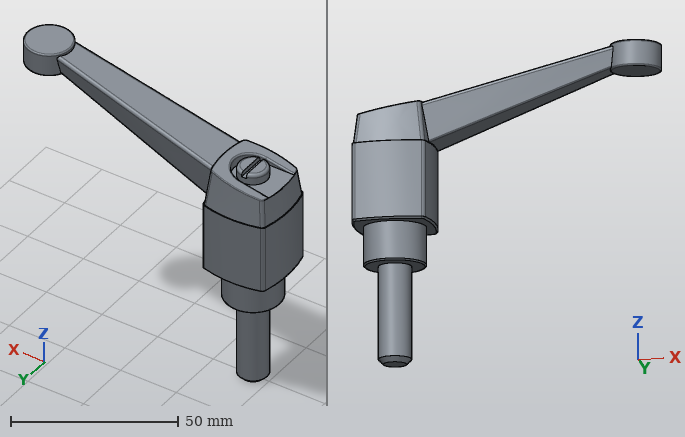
import cadquery as cq


stud_diameter = 10.1
stud_tip_chamfer = 1.5
collar_diameter = 19.0
collar_bottom = 30.0
collar_chamfer = 0.5

hub_bottom = 42.0
hub_ledge = 66.0
hub_width = 25.0
hub_half_width = hub_width / 2
hub_half_corner = 10.9
hub_corner_radius = 1.5
hub_bottom_chamfer = 0.6
ledge_width = 0.3
hub_taper_angle = 8.0
hub_top_at_axis = 76.95
hub_top_slope = 10.6
hub_top_radius = 0.3

pocket_floor = 74.9
pocket_radius = 6.7
pocket_edge_radius = 0.6

screw_diameter = 10.0
screw_top = 78.5
screw_edge_radius = 1.0
slot_width = 1.7
slot_depth = 1.5

overall_length = 93.5
overall_height = 95.0
knob_diameter = 15.5
knob_height = 8.0
knob_edge_radius = 0.5
knob_x = overall_length - hub_half_width - knob_diameter / 2

arm_start = 8.55
arm_end = 68.4
arm_start_bottom = 65.2
arm_start_top = 78.2
arm_end_bottom = 88.3
arm_end_top = 94.5
arm_start_half_width = 8.2
arm_end_half_width = 5.0
arm_side_lean = 1.3
arm_top_radius = 0.95
arm_bottom_radius = 0.5


def cylinder(diameter, bottom, top):
    """Round bar about the stud axis."""
    return cq.Workplane("XY", origin=(0, 0, bottom)).circle(diameter / 2).extrude(top - bottom)


def arched_square(bottom, inset):
    """Square outline with arched sides, moved inwards by inset."""
    middle = hub_half_width - inset
    corner = hub_half_corner - inset
    return (
        cq.Workplane("XY", origin=(0, 0, bottom))
        .moveTo(-corner, -corner)
        .threePointArc((0, -middle), (corner, -corner))
        .threePointArc((middle, 0), (corner, corner))
        .threePointArc((0, middle), (-corner, corner))
        .threePointArc((-middle, 0), (-corner, -corner))
        .close()
    )


def make_lower_hub():
    hub = arched_square(hub_bottom, 0).extrude(hub_ledge - hub_bottom)
    hub = hub.edges("|Z").fillet(hub_corner_radius)
    return hub.faces("<Z").chamfer(hub_bottom_chamfer)


def below_sloping_top():
    """Large block that fills everything under the sloping top plane of the hub."""
    size = 2 * overall_height
    return (
        cq.Workplane("XY")
        .box(size, size, size)
        .translate((0, 0, -size / 2))
        .rotate((0, 0, 0), (0, 1, 0), -hub_top_slope)
        .translate((0, 0, hub_top_at_axis))
    )


def make_upper_hub():
    blank_height = overall_height - hub_ledge
    blank = arched_square(hub_ledge, ledge_width).extrude(blank_height, taper=hub_taper_angle)
    blank = blank.edges(">>Z[1]").fillet(hub_corner_radius)
    hub = blank.intersect(below_sloping_top())
    return hub.faces(">Z").edges().fillet(hub_top_radius)


def make_pocket():
    """U-shaped cutter with a flared mouth, round about the stud axis and open towards -X."""
    cutter = (
        cq.Workplane("XY", origin=(0, 0, hub_bottom))
        .moveTo(-overall_length, -pocket_radius)
        .lineTo(0, -pocket_radius)
        .threePointArc((pocket_radius, 0), (0, pocket_radius))
        .lineTo(-overall_length, pocket_radius)
        .close()
        .extrude(overall_height)
    )
    walls = below_sloping_top().cut(cutter)
    walls = walls.edges("%ELLIPSE").edges(">Z").fillet(pocket_edge_radius)
    space_above_floor = cq.Workplane("XY", origin=(0, 0, pocket_floor)).box(
        hub_width, hub_width, hub_width, centered=(True, True, False)
    )
    return space_above_floor.cut(walls)


def arm_section(x, bottom, bottom_half_width, top, top_half_width):
    """Cross-section of the arm across X, wider at the top than at the bottom."""
    corners = [
        cq.Vector(x, -bottom_half_width, bottom),
        cq.Vector(x, bottom_half_width, bottom),
        cq.Vector(x, top_half_width, top),
        cq.Vector(x, -top_half_width, top),
    ]
    return cq.Wire.makePolygon(corners, close=True)


def make_arm():
    hub_section = arm_section(
        arm_start,
        arm_start_bottom,
        arm_start_half_width - arm_side_lean,
        arm_start_top,
        arm_start_half_width,
    )
    knob_section = arm_section(
        arm_end,
        arm_end_bottom,
        arm_end_half_width - arm_side_lean,
        arm_end_top,
        arm_end_half_width,
    )
    arm = cq.Workplane(cq.Solid.makeLoft([hub_section, knob_section], True))

    along_arm = "not (<X or >X)"
    arm = arm.edges(along_arm).edges(">Z").fillet(arm_top_radius)
    return arm.edges(along_arm).edges("<Z").fillet(arm_bottom_radius)


def make_knob():
    return (
        cq.Workplane("XY", origin=(knob_x, 0, overall_height - knob_height))
        .circle(knob_diameter / 2)
        .extrude(knob_height)
        .edges()
        .fillet(knob_edge_radius)
    )


def make_screw_head():
    head = cylinder(screw_diameter, hub_ledge, screw_top)
    head = head.faces(">Z").edges().fillet(screw_edge_radius)
    slot = (
        cq.Workplane("XY", origin=(0, 0, screw_top - slot_depth))
        .box(slot_width, screw_diameter, slot_depth, centered=(True, True, False))
    )
    return head.cut(slot)


stud = cylinder(stud_diameter, 0, hub_ledge).faces("<Z").chamfer(stud_tip_chamfer)
collar = cylinder(collar_diameter, collar_bottom, hub_ledge).faces("<Z").chamfer(collar_chamfer)

result = make_upper_hub().cut(make_pocket())
for part in (make_lower_hub(), stud, collar, make_screw_head(), make_arm(), make_knob()):
    result = result.union(part)